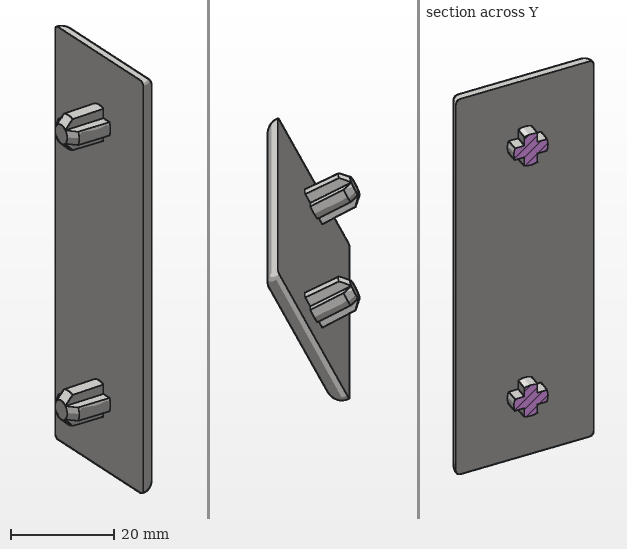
import cadquery as cq
import math

plate_width = 29.8
plate_length = 89.8
plate_thickness = 3.5
rim_height = 0.5
corner_radius = 1.0
edge_radius = plate_thickness - rim_height

pad_width = 22.0
pad_length = 6.2
pad_height = 0.2

peg_spacing = 60.0
peg_length = 9.0
peg_root_radius = 3.8
peg_draft = 1.0
arm_width = 2.9
tip_radius = arm_width / math.sqrt(2)
tip_length = 1.7


def make_plate():
    plate = cq.Workplane("XZ").rect(plate_width, plate_length).extrude(-plate_thickness)
    plate = plate.edges("|Y").fillet(corner_radius)
    return plate.faces(">Y").edges().fillet(edge_radius)


def make_pad():
    return (
        cq.Workplane("XZ", origin=(0, plate_thickness, 0))
        .rect(pad_width, pad_length)
        .extrude(-pad_height)
    )


def make_peg():
    """One peg on the Y axis: a cross trimmed to a drafted, cone-tipped round body."""
    shoulder = peg_length - tip_length
    shoulder_radius = peg_root_radius - shoulder * math.tan(math.radians(peg_draft))
    body = (
        cq.Workplane("XY")
        .moveTo(0, 0)
        .lineTo(peg_root_radius, 0)
        .lineTo(shoulder_radius, -shoulder)
        .lineTo(tip_radius, -peg_length)
        .lineTo(0, -peg_length)
        .close()
        .revolve(360, (0, 0, 0), (0, 1, 0))
    )
    arm_span = 2 * peg_root_radius
    cross = (
        cq.Workplane("XZ")
        .rect(arm_span, arm_width)
        .extrude(peg_length)
        .union(cq.Workplane("XZ").rect(arm_width, arm_span).extrude(peg_length))
    )
    return body.intersect(cross)


result = make_plate().union(make_pad())
for side in (-1, 1):
    result = result.union(make_peg().translate((0, 0, side * peg_spacing / 2)))